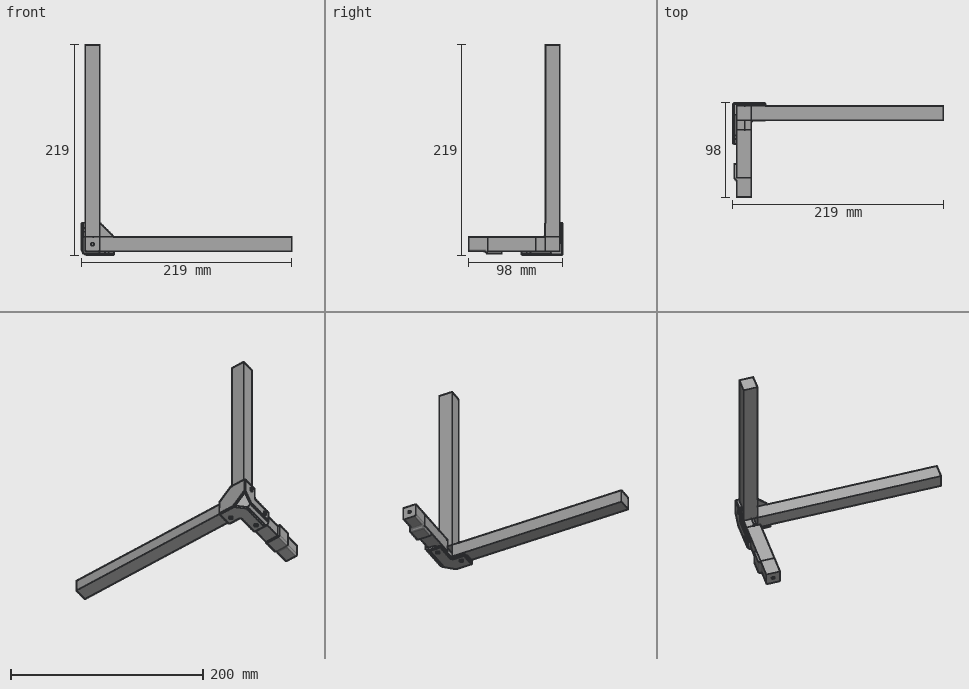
import cadquery as cq
import math


overall = 219.0
depth = 98.0
bar = 15.1
wall = 4.0
back_wall = 3.0

plate = 2.0
reach = 34.0
arm_reach = 43.0
backing_width = 12.5
leg_margin = 0.5
plate_round = 1.8
edge_cut = 1.0
long_edge_cut = 4.5
corner_cut = 15.0
hole_radius = 1.65
countersink_radius = 2.2
countersink_depth = 0.5
inner_hole_radius = 2.08

block_width = 8.5
y_bar_length = 50.0
cap_length = 20.0
lip_length = 14.7
lip = 2.6
lip_slope_start = 0.5
cap_round = 2.0
slope_round = 1.8
cap_hole_radius = 1.65
cap_hole_depth = 11.0

slack = 0.1

bar_far = wall + bar
bar_mid = wall + bar / 2
bar_front = back_wall + bar
leg_width = bar_front + leg_margin
y_bar_end = depth - cap_length
y_bar_start = y_bar_end - y_bar_length
long_edge_fill = long_edge_cut + plate * math.sqrt(2)
corner_fill = corner_cut + plate * math.sqrt(3)
upright_hole = (bar_mid, (bar_far + reach) / 2)
arm_hole = ((y_bar_start + arm_reach) / 2, bar_mid)


def box(x_range, y_range, z_range):
    """Box between the given X and Z limits and the given distances along -Y."""
    x0, x1 = x_range
    y0, y1 = y_range
    z0, z1 = z_range
    return cq.Workplane().box(x1 - x0, y1 - y0, z1 - z0, centered=False).translate((x0, -y1, z0))


def exchange_x_z(body):
    """Mirror a body across the plane X = Z."""
    return body.mirror(cq.Face.makePlane(2.2, 2.2, (0, 0, 0), (1, 0, -1)))


def l_plate():
    """Outer layer of the L-shaped wall on the -X side."""
    upright = box((0, plate), (0, leg_width), (0, reach))
    arm = box((0, plate), (0, arm_reach), (0, bar_far))
    free_corners = cq.selectors.BoxSelector(
        (0, -arm_reach - slack, bar_far - slack),
        (plate, -leg_width + slack, reach + slack),
    )
    return upright.union(arm).edges("|X").edges(free_corners).fillet(plate_round)


def l_backing():
    """Inner layer of the same wall, which carries the bars."""
    upright = box((plate, wall), (plate, backing_width), (plate, reach))
    arm = box((plate, wall), (plate, arm_reach), (plate, backing_width))
    return upright.union(arm)


def back_strip():
    """Inner layer of the back wall, behind the upright bar."""
    return box((plate, backing_width), (plate, back_wall), (plate, reach))


def wall_holes():
    """Countersunk holes of the same wall, widened where they pass the inner layer."""
    profile = [
        (0, 0),
        (0, countersink_radius),
        (countersink_depth, hole_radius),
        (plate, hole_radius),
        (plate, inner_hole_radius),
        (wall, inner_hole_radius),
        (wall, 0),
    ]
    hole = cq.Workplane("XY").polyline(profile).close().revolve(360, (0, 0, 0), (1, 0, 0))
    upright = hole.translate((0, -upright_hole[0], upright_hole[1]))
    arm = hole.translate((0, -arm_hole[0], arm_hole[1]))
    return upright.union(arm)


def gusset():
    """Back wall, with a slanted edge between the two bars."""
    outline = [(0, 0), (reach, 0), (reach, bar_far), (bar_far, reach), (0, reach)]
    return cq.Workplane("XZ").polyline(outline).close().extrude(plate)


def long_edge_wedge(leg):
    """Triangular prism along the edge shared by the two L-shaped walls."""
    triangle = [(0, 0), (leg, 0), (0, leg)]
    return cq.Workplane("XZ").polyline(triangle).close().extrude(arm_reach)


def corner_wedge(leg):
    """Tetrahedron with equal legs along the three edges that meet in the outer corner."""
    corner = cq.Vector(0, 0, 0)
    along_x = cq.Vector(leg, 0, 0)
    along_y = cq.Vector(0, -leg, 0)
    along_z = cq.Vector(0, 0, leg)
    sides = [
        (corner, along_x, along_y),
        (corner, along_y, along_z),
        (corner, along_x, along_z),
        (along_x, along_y, along_z),
    ]
    faces = [cq.Face.makeFromWires(cq.Wire.makePolygon(side, close=True)) for side in sides]
    return cq.Workplane(cq.Solid.makeSolid(cq.Shell.makeShell(faces)))


def make_bracket():
    shell = gusset().union(l_plate()).union(exchange_x_z(l_plate()))
    shell = shell.union(long_edge_wedge(long_edge_fill)).union(corner_wedge(corner_fill))
    shell = shell.cut(long_edge_wedge(long_edge_cut)).cut(corner_wedge(corner_cut))
    shell = shell.faces("<X or <Z or >Y").edges().chamfer(edge_cut)
    backing = l_backing().union(back_strip())
    backing = backing.union(exchange_x_z(backing))
    backing = backing.cut(long_edge_wedge(long_edge_fill)).cut(corner_wedge(corner_fill))
    bracket = shell.union(backing)
    return bracket.cut(wall_holes()).cut(exchange_x_z(wall_holes()))


def cap_section(y, overhang):
    """Square section that overhangs the bar on the -X and -Z sides, rounded at the bottom."""
    low = wall - overhang
    side = bar_far - low
    return (
        cq.Sketch()
        .push([(low + side / 2, low + side / 2)])
        .rect(side, side)
        .reset()
        .vertices("<Y")
        .fillet(cap_round)
        .moved(cq.Location(cq.Vector(0, 0, y)))
    )


def make_end_cap():
    slope_start = y_bar_end + lip_slope_start
    slope_end = slope_start + lip
    back = y_bar_end - lip_length
    lip_part = cq.Workplane("XZ").placeSketch(cap_section(back, lip)).extrude(slope_start - back)
    slope = (
        cq.Workplane("XZ")
        .placeSketch(cap_section(slope_start, lip), cap_section(slope_end, 0))
        .loft(ruled=True)
    )
    block = cq.Workplane("XZ").placeSketch(cap_section(slope_end, 0)).extrude(depth - slope_end)
    cap = lip_part.union(slope).union(block)
    slope_zone = cq.selectors.BoxSelector(
        (0, -slope_end - slack, 0),
        (bar_far, -slope_start + slack, bar_far),
    )
    cap = cap.edges("|X or |Z").edges(slope_zone).fillet(slope_round)
    bar_space = box((wall, bar_far), (back, y_bar_end), (wall, bar_far))
    hole = (
        cq.Workplane("XZ", origin=(bar_mid, -depth + cap_hole_depth, bar_mid))
        .circle(cap_hole_radius)
        .extrude(cap_hole_depth)
    )
    return cap.cut(bar_space).cut(hole)


bracket = make_bracket()
upright_bar = box((wall, bar_far), (back_wall, bar_front), (bar_far, overall))
x_bar = box((bar_far, overall), (back_wall, bar_front), (wall, bar_far))
y_bar = box((wall, bar_far), (y_bar_start, y_bar_end), (wall, bar_far))
corner_block = box((wall, wall + block_width), (back_wall, y_bar_start), (wall, bar_far))
corner_block = corner_block.cut(corner_wedge(corner_fill))
end_cap = make_end_cap()

result = cq.Compound.makeCompound(
    [body.val() for body in (bracket, upright_bar, x_bar, y_bar, corner_block, end_cap)]
)